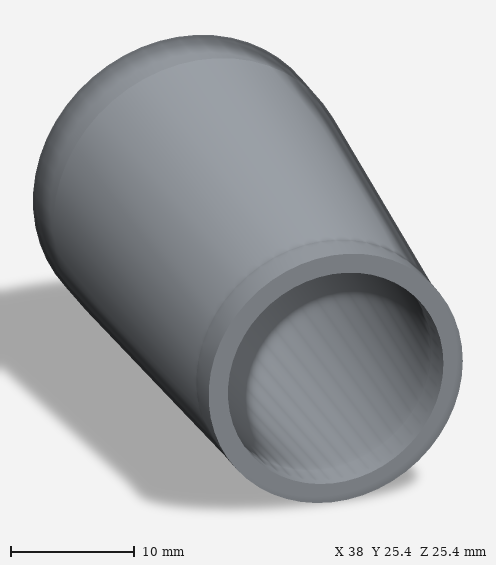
import cadquery as cq

total_length = 38.0
large_collar_length = 5.0
small_collar_length = 3.0
large_outer_diameter = 25.4
large_bore_diameter = 23.0
small_outer_diameter = 21.7
small_bore_diameter = 18.4

taper_length = total_length - large_collar_length - small_collar_length
small_end_drop = (large_outer_diameter - small_outer_diameter) / 2


def reducer_body(large_diameter, small_diameter):
    """Solid of two straight ends on parallel axes, joined by an oblique taper."""
    large_end = cq.Workplane("YZ").circle(large_diameter / 2).extrude(large_collar_length)
    taper = (
        cq.Workplane("YZ", origin=(large_collar_length, 0, 0))
        .circle(large_diameter / 2)
        .workplane(offset=taper_length)
        .center(0, -small_end_drop)
        .circle(small_diameter / 2)
        .loft(ruled=True)
    )
    small_end = (
        cq.Workplane("YZ", origin=(large_collar_length + taper_length, 0, -small_end_drop))
        .circle(small_diameter / 2)
        .extrude(small_collar_length)
    )
    return large_end.union(taper).union(small_end)


outer_body = reducer_body(large_outer_diameter, small_outer_diameter)
bore = reducer_body(large_bore_diameter, small_bore_diameter)

result = outer_body.cut(bore)